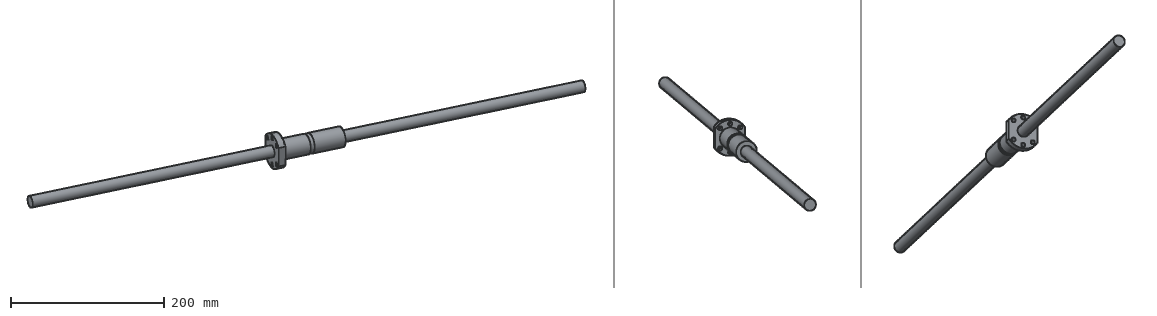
import cadquery as cq
import math

shaft_length = 800.0
shaft_diameter = 16.0

nut_length = 100.0
nut_diameter = 28.0
flange_diameter = 48.0
flange_width = 40.0
flange_back_y = -40.0

groove_width = 6.0
groove_depth = 0.4
groove_center_y = 2.0

bolt_hole_diameter = 5.5
bolt_circle_diameter = (nut_diameter + flange_diameter) / 2
bolt_spacing_angle = 45.0

oil_hole_diameter = 5.0
oil_hole_tilt = bolt_spacing_angle / 2

nut_front_y = -nut_length / 2
flange_thickness = flange_back_y - nut_front_y
flange_center_y = nut_front_y + flange_thickness / 2


def rod(diameter, start_y, length):
    """Cylinder on the Y axis, running from start_y toward +Y."""
    return cq.Workplane("XZ", origin=(0, start_y, 0)).circle(diameter / 2).extrude(-length)


def make_flange():
    """Round flange with a flat on its -X and +X sides."""
    disc = rod(flange_diameter, nut_front_y, flange_thickness)
    flats = cq.Workplane("XY", origin=(0, flange_center_y, 0)).box(
        flange_width, flange_thickness, flange_diameter
    )
    return disc.intersect(flats)


def make_groove():
    """Ring of material removed from the barrel surface."""
    start_y = groove_center_y - groove_width / 2
    outer = rod(nut_diameter, start_y, groove_width)
    return outer.cut(rod(nut_diameter - 2 * groove_depth, start_y, groove_width))


def make_bolt_holes():
    """Cutters for the bolt holes through the flange."""
    radius = bolt_circle_diameter / 2
    centers = []
    for middle_angle in (90.0, 270.0):
        for step in (-1, 0, 1):
            angle = math.radians(middle_angle + step * bolt_spacing_angle)
            centers.append((radius * math.cos(angle), radius * math.sin(angle)))
    return (
        cq.Workplane("XZ", origin=(0, nut_front_y, 0))
        .pushPoints(centers)
        .circle(bolt_hole_diameter / 2)
        .extrude(-flange_thickness)
    )


def make_oil_hole():
    """Cutter from the bore to the flange rim, tilted from +Z toward -X."""
    upright = (
        cq.Workplane("XY", origin=(0, flange_center_y, 0))
        .circle(oil_hole_diameter / 2)
        .extrude(flange_diameter)
    )
    return upright.rotate((0, 0, 0), (0, 1, 0), -oil_hole_tilt)


def make_nut():
    barrel = rod(nut_diameter, nut_front_y, nut_length).cut(make_groove())
    body = barrel.union(make_flange()).cut(make_bolt_holes()).cut(make_oil_hole())
    return body.cut(rod(shaft_diameter, nut_front_y, nut_length))


shaft = rod(shaft_diameter, -shaft_length / 2, shaft_length)
nut = make_nut()

result = cq.Compound.makeCompound([shaft.val(), nut.val()])